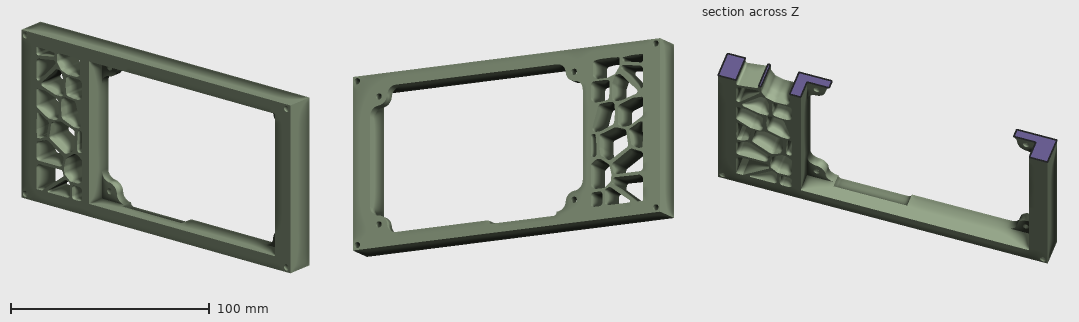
import cadquery as cq
import math

LENGTH = 174.86
DEPTH = 15.16
HEIGHT = 89.8

WINDOW_WIDTH = 121.0
WINDOW_HEIGHT = 76.2
WINDOW_RIGHT_MARGIN = 9.86
WINDOW_RIGHT = LENGTH / 2 - WINDOW_RIGHT_MARGIN
WINDOW_CENTRE_X = WINDOW_RIGHT - WINDOW_WIDTH / 2

SCREW_DIAMETER = 3.2
FRAME_HOLE_INSET = 2.5

LUG_HOLE_INSET = 5.0
LUG_NOSE_RADIUS = 5.3
LUG_NOSE_INSET = 4.4
LUG_BLEND_RADIUS = 5.0
LUG_THICKNESS = 5.0

RELIEF_LEFT = -28.6
RELIEF_LENGTH = 39.0
RELIEF_DROP = 2.0
RELIEF_DEPTH = 7.5

GRILLE_LEFT_MARGIN = 9.75
GRILLE_LEFT = -LENGTH / 2 + GRILLE_LEFT_MARGIN
GRILLE_HEIGHT = 76.2
GRILLE_BOTTOM = -GRILLE_HEIGHT / 2

GRILLE_CELLS = [
    [
        (0.0, 76.0, 0), (6.0, 76.1, 0), (12.0, 75.5, 0.7), (11.5, 73.5, 0.7),
        (0.0, 71.5, 1.2),
    ],
    [
        (0.0, 69.9, 2.3), (14.4, 72.0, 1.2), (0.0, 56.4, 1.2),
    ],
    [
        (2.0, 56.4, 1.3), (13.1, 67.3, 1), (15.9, 66.8, 1.3), (17.5, 62.4, 3),
        (17.5, 53.3, 1.8), (12.4, 53.3, 3),
    ],
    [
        (13.3, 75.8, 0.8), (16.8, 76.1, 3), (24.4, 76.1, 3), (28.4, 75.5, 1.2),
        (28.5, 66.0, 2.9), (20.1, 65.9, 4), (15.9, 67.4, 2), (13.3, 71.2, 2),
    ],
    [
        (19.1, 64.7, 1.2), (21.8, 65.0, 3), (29.6, 64.9, 2), (29.6, 53.9, 2.9),
        (24.0, 53.9, 4), (19.5, 54.6, 1.3), (19.0, 58.7, 4),
    ],
    [
        (0.0, 53.9, 0.8), (5.6, 53.9, 3), (14.3, 51.0, 2), (14.3, 39.6, 2.6),
        (7.8, 39.6, 3), (0.0, 44.0, 1.5),
    ],
    [
        (16.3, 53.1, 2), (19.6, 53.3, 2), (25.2, 52.8, 2), (29.5, 38.7, 2),
        (24.2, 38.7, 3), (16.5, 41.6, 1.8), (15.9, 47.3, 6),
    ],
    [
        (0.3, 41.1, 0.4), (2.3, 41.0, 1), (8.2, 37.8, 1.2), (6.5, 29.4, 1.5),
        (2.5, 27.6, 0.5), (0.4, 27.6, 0.3), (0.0, 31.9, 0),
    ],
    [
        (9.7, 38.1, 2), (15.7, 39.9, 2.5), (24.8, 36.9, 1.3), (24.8, 30.6, 3),
        (24.1, 25.8, 3), (19.0, 22.9, 2.2), (8.3, 29.2, 1.5),
    ],
    [
        (27.0, 37.7, 1.1), (29.6, 37.8, 1.2), (29.6, 25.8, 1.3), (26.6, 25.8, 1.3),
        (26.3, 29.7, 2),
    ],
    [
        (0.0, 25.3, 2), (6.9, 27.9, 2), (17.9, 21.1, 1.8), (16.5, 15.5, 2),
        (0.0, 15.5, 1.7),
    ],
    [
        (19.2, 20.9, 1.3), (24.2, 24.5, 2), (26.6, 24.5, 2), (29.6, 22.2, 1),
        (29.6, 9.2, 3), (22.0, 9.1, 2), (18.1, 12.2, 2), (18.0, 16.1, 4),
    ],
    [
        (0.0, 13.7, 2.5), (16.9, 14.0, 1.2), (17.6, 10.9, 0.8), (3.5, 0.0, 0.3),
        (0.0, 0.0, 0),
    ],
    [
        (6.0, 0.0, 0.6), (19.0, 9.5, 1.2), (21.7, 8.2, 1.2), (21.7, 0.0, 1.8),
    ],
    [
        (23.1, 7.6, 1.7), (29.6, 7.6, 1.7), (29.6, 0.0, 1.7), (23.1, 0.0, 1.7),
    ],
]


def front_plane(y=0.0):
    """Sketch plane parallel to the front face; extruding it by a negative length goes to +Y."""
    return cq.Workplane("XZ", origin=(0, y, 0))


def rounded_polygon(corners):
    """Closed outline through the corners, each one replaced by a tangent arc of its own radius."""
    points = [cq.Vector(x, z) for x, z, _ in corners]
    outline = front_plane()
    for i, (_, _, radius) in enumerate(corners):
        corner = points[i]
        to_previous = (points[i - 1] - corner).normalized()
        to_next = (points[(i + 1) % len(points)] - corner).normalized()
        half_angle = to_previous.getAngle(to_next) / 2
        tangent_length = radius / math.tan(half_angle)
        apex_distance = radius / math.sin(half_angle) - radius
        start = corner + to_previous * tangent_length
        apex = corner + (to_previous + to_next).normalized() * apex_distance
        end = corner + to_next * tangent_length
        if i == 0:
            outline = outline.moveTo(start.x, start.y)
        else:
            outline = outline.lineTo(start.x, start.y)
        if radius > 0:
            outline = outline.threePointArc((apex.x, apex.y), (end.x, end.y))
    return outline.close()


def make_frame():
    """Plain block with the display window cut through it."""
    block = front_plane().rect(LENGTH, HEIGHT).extrude(-DEPTH)
    window = front_plane().center(WINDOW_CENTRE_X, 0).rect(WINDOW_WIDTH, WINDOW_HEIGHT).extrude(-DEPTH)
    return block.cut(window)


def lug_blend():
    """Arc that is tangent to a window wall and to the lug nose.

    Returns its wall end, middle and nose end as (distance along the wall, distance off the wall),
    measured from the window corner.
    """
    radius = LUG_BLEND_RADIUS
    off = radius - LUG_NOSE_INSET
    along = math.sqrt((LUG_NOSE_RADIUS + radius) ** 2 - off**2)
    centre = cq.Vector(LUG_NOSE_INSET + along, radius)
    to_nose = cq.Vector(-along, -off).normalized()
    to_wall = cq.Vector(0, -1)
    wall_end = centre + to_wall * radius
    middle = centre + (to_wall + to_nose).normalized() * radius
    nose_end = centre + to_nose * radius
    return [(point.x, point.y) for point in (wall_end, middle, nose_end)]


def make_lug(side_x, side_z):
    """Lug in one window corner: a round nose about its screw hole, blended into both walls."""

    def place(across, up):
        """Point at the given distances from the side wall and from the top or bottom wall."""
        x = WINDOW_CENTRE_X + side_x * (WINDOW_WIDTH / 2 - across)
        z = side_z * (WINDOW_HEIGHT / 2 - up)
        return (x, z)

    floor_end, floor_middle, floor_nose = [place(along, off) for along, off in lug_blend()]
    wall_end, wall_middle, wall_nose = [place(off, along) for along, off in lug_blend()]
    nose_tip = LUG_NOSE_INSET + LUG_NOSE_RADIUS * math.sqrt(0.5)

    lug = (
        front_plane(DEPTH)
        .moveTo(*place(0, 0))
        .lineTo(*floor_end)
        .threePointArc(floor_middle, floor_nose)
        .threePointArc(place(nose_tip, nose_tip), wall_nose)
        .threePointArc(wall_middle, wall_end)
        .close()
        .extrude(LUG_THICKNESS)
    )
    hole_x, hole_z = place(LUG_HOLE_INSET, LUG_HOLE_INSET)
    hole = front_plane().center(hole_x, hole_z).circle(SCREW_DIAMETER / 2).extrude(-DEPTH)
    return lug.cut(hole)


def make_frame_holes():
    """Screw holes through the four outer corners."""
    spacing_x = LENGTH - 2 * FRAME_HOLE_INSET
    spacing_z = HEIGHT - 2 * FRAME_HOLE_INSET
    corners = front_plane().rect(spacing_x, spacing_z, forConstruction=True).vertices()
    return corners.circle(SCREW_DIAMETER / 2).extrude(-DEPTH)


def make_relief():
    """Shallow trough in the window floor, behind the front lip, with quarter-round ends."""
    top = -WINDOW_HEIGHT / 2
    bottom = top - RELIEF_DROP
    right = RELIEF_LEFT + RELIEF_LENGTH
    bulge = RELIEF_DROP * math.sqrt(0.5)
    arc_inset = RELIEF_DROP - bulge
    return (
        front_plane(DEPTH)
        .moveTo(RELIEF_LEFT, top)
        .lineTo(right, top)
        .threePointArc((right - arc_inset, top - bulge), (right - RELIEF_DROP, bottom))
        .lineTo(RELIEF_LEFT + RELIEF_DROP, bottom)
        .threePointArc((RELIEF_LEFT + arc_inset, top - bulge), (RELIEF_LEFT, top))
        .close()
        .extrude(RELIEF_DEPTH)
    )


def make_grille_cell(corners):
    """One through opening of the grille."""
    cell = rounded_polygon(corners).extrude(-DEPTH)
    return cell.translate((GRILLE_LEFT, 0, GRILLE_BOTTOM))


result = make_frame()
for side_x in (-1, 1):
    for side_z in (-1, 1):
        result = result.union(make_lug(side_x, side_z))
result = result.cut(make_frame_holes()).cut(make_relief())
for cell_corners in GRILLE_CELLS:
    result = result.cut(make_grille_cell(cell_corners))